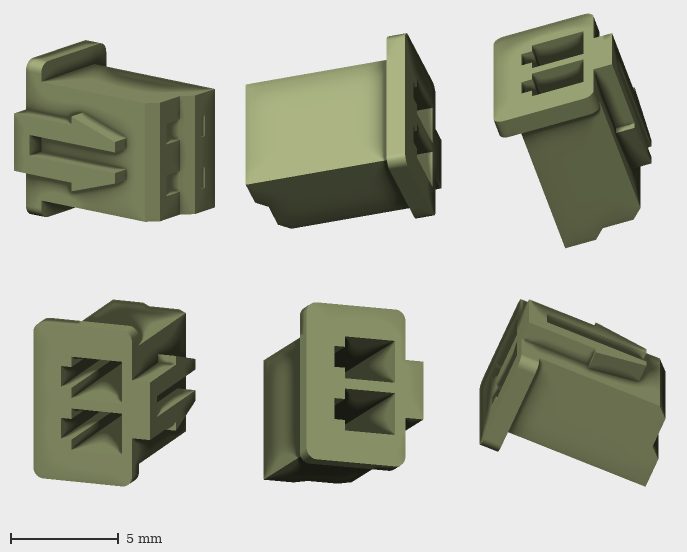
import cadquery as cq

length = 8
total_depth = 5.8
total_height = 7.5

body_depth = 4
lip = (total_depth - body_depth) / 2
body_height = total_height - 2 * lip
nose_step = body_depth / 8
nose_shoulder = body_depth / 2
corner_radius = 0.5

latch_half_height = 1.38
barb_start = 3.38
barb_half_height = 1.8
latch_end = 5.93
latch_end_half_height = 1.0
latch_slot_height = 1.0

cavity_size_y = 2.5
cavity_size_z = 2
cavity_front = 0.5
cavity_pitch = 2.5
end_wall = 1.5
cavity_length = length - end_wall
pin_hole = 1.0
pin_hole_front = 1.0
groove_height = 1.0
groove_depth = 0.52
groove_exit_depth = 0.25
cavity_back = cavity_front + cavity_size_y


def block(x_length, y_start, y_size, z_center, z_size):
    """Box starting at X = 0 and Y = y_start, centred on z_center."""
    box = cq.Workplane("XY").box(x_length, y_size, z_size, centered=(False, False, True))
    return box.translate((0, y_start, z_center))


def make_body():
    outline = [
        (0, 0),
        (length - 2 * nose_step, 0),
        (length - nose_step, nose_step),
        (length - nose_step, nose_shoulder),
        (length, nose_shoulder + nose_step),
        (length, body_depth),
        (0, body_depth),
    ]
    body = cq.Workplane("XY").polyline(outline).close().extrude(body_height / 2, both=True)
    return body


def make_flange():
    flange = block(lip, 0, body_depth + lip, 0, total_height)
    return flange.edges("|X").fillet(corner_radius)


def make_latch():
    upper_edge = [
        (0, latch_half_height),
        (barb_start, latch_half_height),
        (barb_start, barb_half_height),
        (latch_end, latch_end_half_height),
    ]
    lower_edge = [(x, -z) for x, z in reversed(upper_edge)]
    latch = cq.Workplane("XZ").polyline(upper_edge + lower_edge).close().extrude(lip)
    slot = block(length, -lip, lip, 0, latch_slot_height).translate((lip, 0, 0))
    return latch.cut(slot)


def make_cavity(z_center):
    pocket = block(cavity_length, cavity_front, cavity_size_y, z_center, cavity_size_z)
    pin_passage = block(length, pin_hole_front, pin_hole, z_center, pin_hole)
    groove = block(cavity_length, cavity_back, groove_depth, z_center, groove_height)
    groove_exit = block(length, cavity_back, groove_exit_depth, z_center, groove_height)
    return pocket.union(pin_passage).union(groove).union(groove_exit)


result = make_body().union(make_flange()).union(make_latch())
for side in (-1, 1):
    result = result.cut(make_cavity(side * cavity_pitch / 2))